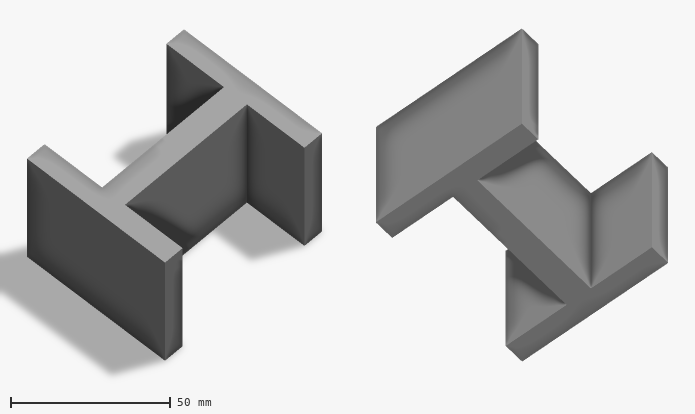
import cadquery as cq

flange_width = 60.0
depth = 71.35
height = 50.0

flange_thickness = 8.0
web_thickness = 10.0

flange_offset = (depth - flange_thickness) / 2

result = cq.Workplane("XY").box(web_thickness, depth, height)

for side in (-1, 1):
    flange = cq.Workplane("XY").box(flange_width, flange_thickness, height)
    result = result.union(flange.translate((0, side * flange_offset, 0)))

result = result.clean()